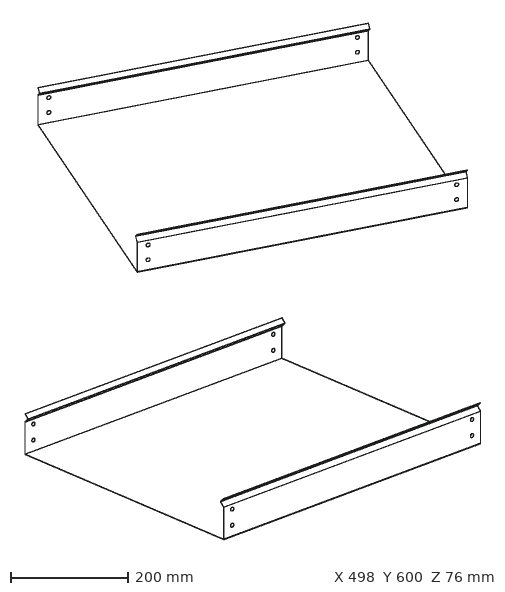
import cadquery as cq
import math

width = 498.0
length = 600.0
height = 76.0
thickness = 0.9

wall_height = 60.5
tip_inset = 0.5
rim_angle = math.radians(45)

hole_diameter = 7.0
hole_end_distance = 20.0
lower_hole_height = 21.0
hole_spacing = 30.0

half_width = width / 2
tip_offset_x = thickness * math.sin(rim_angle)
tip_offset_z = thickness * math.cos(rim_angle)
outer_tip_height = height - tip_offset_z
inset_rise = tip_inset / math.tan(rim_angle)
valley_height = (wall_height + outer_tip_height + inset_rise) / 2
valley_depth = (valley_height - wall_height) * math.tan(rim_angle)
valley_inset = thickness / math.cos(rim_angle)
bend_rise = thickness * math.tan(rim_angle / 2)


def make_tray():
    """Extrude the folded section along Y, centred on the origin."""
    left_half = [
        (-half_width, 0),
        (-half_width, wall_height),
        (-half_width + valley_depth, valley_height),
        (-half_width + tip_inset, outer_tip_height),
        (-half_width + tip_inset + tip_offset_x, height),
        (-half_width + valley_depth + valley_inset, valley_height),
        (-half_width + thickness, wall_height - bend_rise),
        (-half_width + thickness, thickness),
    ]
    right_half = [(-x, z) for x, z in reversed(left_half)]
    section = cq.Workplane("XZ").polyline(left_half + right_half).close()
    return section.extrude(length / 2, both=True)


def make_wall_holes():
    """Cylinders along X that pierce both side walls."""
    hole_y = length / 2 - hole_end_distance
    centres = [
        (y, z)
        for y in (-hole_y, hole_y)
        for z in (lower_hole_height, lower_hole_height + hole_spacing)
    ]
    return cq.Workplane("YZ").pushPoints(centres).circle(hole_diameter / 2).extrude(width, both=True)


result = make_tray().cut(make_wall_holes())